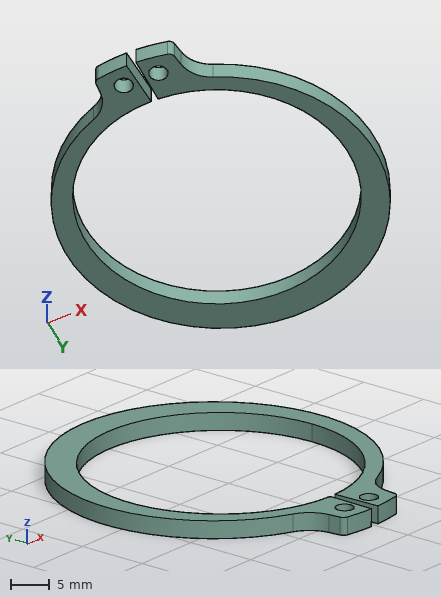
import cadquery as cq
import math

thickness = 2.5
outer_radius = 22.0
bore_radius = 18.72
outer_offset = 1.12
lug_tip_radius = 25.75
side_x = 5.8
side_tilt = math.radians(6)
blend_radius = 4.6
corner_radius = 0.85
gap_half_angle = math.radians(1.5)
hole_diameter = 2.5
hole_x = 2.5
hole_y = -22.8

blend_x = side_x + blend_radius * math.cos(side_tilt)
blend_y = outer_offset - math.sqrt((outer_radius + blend_radius) ** 2 - blend_x ** 2)
side_y = blend_y + blend_radius * math.sin(side_tilt)
tangent_share = outer_radius / (outer_radius + blend_radius)
tangent_x = blend_x * tangent_share
tangent_y = outer_offset + (blend_y - outer_offset) * tangent_share

start_angle = math.atan2(tangent_y - blend_y, tangent_x - blend_x)
mid_angle = (start_angle + math.pi - side_tilt) / 2
blend_mid = (
    blend_x + blend_radius * math.cos(mid_angle),
    blend_y + blend_radius * math.sin(mid_angle),
)

down_x = -math.sin(side_tilt)
down_y = -math.cos(side_tilt)
along = side_x * down_x + side_y * down_y
side_length = math.sqrt(along ** 2 - side_x ** 2 - side_y ** 2 + lug_tip_radius ** 2) - along
tip_x = side_x + side_length * down_x
tip_y = side_y + side_length * down_y


def make_lugs():
    """Both lugs as one block, before the gap is cut."""
    return (
        cq.Workplane("XY")
        .moveTo(tangent_x, tangent_y)
        .threePointArc(blend_mid, (side_x, side_y))
        .lineTo(tip_x, tip_y)
        .threePointArc((0, -lug_tip_radius), (-tip_x, tip_y))
        .lineTo(-side_x, side_y)
        .threePointArc((-blend_mid[0], blend_mid[1]), (-tangent_x, tangent_y))
        .close()
        .extrude(thickness)
        .edges(cq.selectors.BoxSelector(
            (-tip_x - corner_radius, tip_y - corner_radius, 0),
            (tip_x + corner_radius, tip_y + corner_radius, thickness),
        ))
        .edges("|Z")
        .fillet(corner_radius)
    )


def make_gap():
    """Wedge between the lugs, with faces radial to the bore axis."""
    reach = lug_tip_radius + corner_radius
    half_width = reach * math.tan(gap_half_angle)
    return (
        cq.Workplane("XY")
        .polyline([(0, 0), (half_width, -reach), (-half_width, -reach)])
        .close()
        .extrude(thickness)
    )


disc = cq.Workplane("XY").center(0, outer_offset).circle(outer_radius).extrude(thickness)
bore = cq.Workplane("XY").circle(bore_radius).extrude(thickness)
plier_holes = (
    cq.Workplane("XY")
    .pushPoints([(-hole_x, hole_y), (hole_x, hole_y)])
    .circle(hole_diameter / 2)
    .extrude(thickness)
)

result = disc.union(make_lugs()).cut(bore).cut(make_gap()).cut(plier_holes)